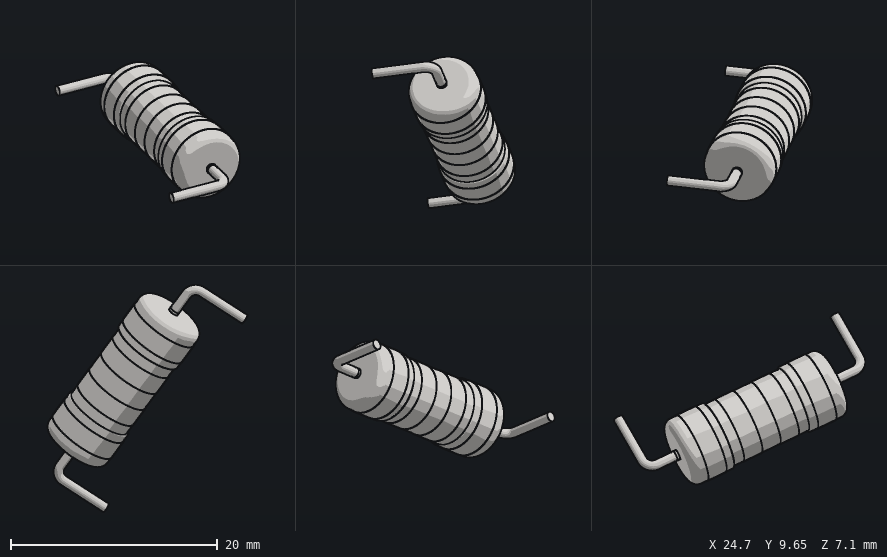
import cadquery as cq

body_length = 17.02
barrel_diameter = 6.63
end_diameter = 7.0
end_length = 4.4
outer_rounding = 0.9
left_shoulder_rounding = 0.15
right_shoulder_rounding = 0.07

band_width = 2.0
band_pitch = 2 * band_width
barrel_band_diameter = 6.7
end_band_diameter = 7.1

wire_diameter = 1.0
core_projection = 0.27
overall_length = 24.65
bend_radius = 1.09
lead_reach = 6.1

half_body = body_length / 2
core_end = half_body + core_projection
lead_x = (overall_length - wire_diameter) / 2
inner_band_x = band_pitch / 2
outer_band_x = 1.5 * band_pitch


def cylinder_x(diameter, length, center_x=0):
    """Solid cylinder along X, centred on center_x."""
    start = cq.Workplane("YZ", origin=(center_x - length / 2, 0, 0))
    return start.circle(diameter / 2).extrude(length)


def make_core():
    return cylinder_x(wire_diameter, 2 * core_end)


def make_rounded_end(side, shoulder_rounding):
    """Thick end of the body; side is -1 or 1."""
    end = cylinder_x(end_diameter, end_length, side * (half_body - end_length / 2))
    outer_face, shoulder_face = (">X", "<X") if side > 0 else ("<X", ">X")
    end = end.faces(outer_face).edges().fillet(outer_rounding)
    return end.faces(shoulder_face).edges().fillet(shoulder_rounding)


def make_band(center_x):
    """Ring seated on the body surface, slightly proud of it."""
    on_end = abs(center_x) > half_body - end_length
    outer, inner = (
        (end_band_diameter, end_diameter) if on_end else (barrel_band_diameter, barrel_diameter)
    )
    return cylinder_x(outer, band_width, center_x).cut(cylinder_x(inner, band_width, center_x))


def make_body():
    barrel = cylinder_x(barrel_diameter, body_length - 2 * end_length)
    left_end = make_rounded_end(-1, left_shoulder_rounding)
    right_end = make_rounded_end(1, right_shoulder_rounding)
    body = barrel.union(left_end).union(right_end)
    return body.cut(make_core())


def make_lead(side):
    """Wire running outward from the core, then bent towards -Y."""
    path = (
        cq.Workplane("XY")
        .moveTo(side * core_end, 0)
        .lineTo(side * (lead_x - bend_radius), 0)
        .tangentArcPoint((side * lead_x, -bend_radius), relative=False)
        .lineTo(side * lead_x, -lead_reach)
    )
    profile = cq.Workplane("YZ", origin=(side * core_end, 0, 0)).circle(wire_diameter / 2)
    return profile.sweep(path)


body = make_body()
core = make_core()
bands = [make_band(x) for x in (-outer_band_x, -inner_band_x, inner_band_x, outer_band_x)]
leads = [make_lead(side) for side in (-1, 1)]

result = cq.Compound.makeCompound(
    [body.val(), core.val(), *[band.val() for band in bands], *[lead.val() for lead in leads]]
)